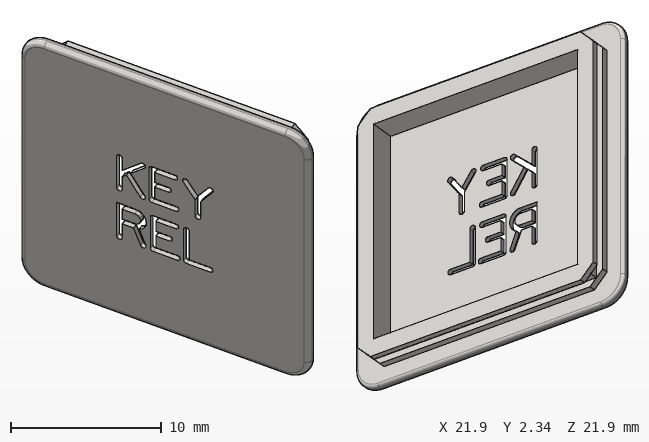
import cadquery as cq
import math


face_width = 21.85
face_thickness = 0.76
face_corner_radius = 1.83
front_edge_radius = 0.4
back_edge_radius = 0.25

front_flange_depth = 0.5
groove_depth = 0.63
back_flange_depth = 0.45
flange_width = 19.18
flange_corner_chamfer = 1.03
groove_width = 18.13

legend_thickness = 0.4
rim_wall = 0.76
cavity_width = groove_width - 2 * rim_wall

front_flange_y = face_thickness
groove_y = front_flange_y + front_flange_depth
back_flange_y = groove_y + groove_depth
back_y = back_flange_y + back_flange_depth

stroke_width = 0.41
stroke_radius = stroke_width / 2
letter_height = 2.77
letter_width = 1.8
top_row_z = 0.48
row_pitch = 4.35
bottom_row_z = top_row_z - row_pitch
left_column_x = -3.4
top_e_x = -0.96
bottom_e_x = -0.87
y_x = 1.57
l_x = 1.64

k_width = 1.75
k_arm_foot = 1.22
k_leg_x = 0.57
k_leg_top = k_arm_foot + k_leg_x * (letter_height - k_arm_foot) / k_width
e_top_length = 1.73
e_middle_length = 1.25
e_bottom_length = 1.83
e_middle_height = 1.46
y_width = 1.88
y_fork_height = 1.5
bowl_height = 1.3
bowl_straight = 1.15
bowl_foot = letter_height - bowl_height
r_leg_x = 1.2


def slab(width, depth, y):
    """Square slab centred on the Y axis, running from y toward +Y."""
    return cq.Workplane("XY").box(width, depth, width).translate((0, y + depth / 2, 0))


def face_plate():
    plate = slab(face_width, face_thickness, 0).edges("|Y").fillet(face_corner_radius)
    plate = plate.faces("<Y").edges().fillet(front_edge_radius)
    return plate.faces(">Y").edges().fillet(back_edge_radius)


def flange(depth, y):
    return slab(flange_width, depth, y).edges("|Y").chamfer(flange_corner_chamfer)


def rim():
    walls = flange(front_flange_depth, front_flange_y)
    walls = walls.union(slab(groove_width, groove_depth, groove_y))
    walls = walls.union(flange(back_flange_depth, back_flange_y))
    return walls


def cavity():
    return slab(cavity_width, back_y - legend_thickness, legend_thickness)


def through_face(sketch):
    """Extrude an outline drawn in the XZ plane through the web in front of the cavity."""
    return sketch.extrude(-legend_thickness)


def stroke(start, end):
    """Round-ended bar between two points of a letter."""
    run = end[0] - start[0]
    rise = end[1] - start[1]
    middle = ((start[0] + end[0]) / 2, (start[1] + end[1]) / 2)
    length = math.hypot(run, rise) + stroke_width
    angle = math.degrees(math.atan2(rise, run))
    return through_face(cq.Workplane("XZ").center(*middle).slot2D(length, stroke_width, angle))


def bowl(offset):
    """D shape of the R's bowl, grown by offset from its stroke centre line."""
    bottom = bowl_foot - offset
    top = letter_height + offset
    middle = (bottom + top) / 2
    nose = bowl_straight + (top - bottom) / 2
    outline = (
        cq.Workplane("XZ")
        .moveTo(-offset, bottom)
        .lineTo(bowl_straight, bottom)
        .threePointArc((nose, middle), (bowl_straight, top))
        .lineTo(-offset, top)
        .close()
    )
    return through_face(outline)


def placed(shape, x, z):
    return shape.translate((x, 0, z))


stem = ((0, 0), (0, letter_height))
k_strokes = [
    stem,
    ((0, k_arm_foot), (k_width, letter_height)),
    ((k_leg_x, k_leg_top), (k_width, 0)),
]
e_strokes = [
    stem,
    ((0, letter_height), (e_top_length, letter_height)),
    ((0, e_middle_height), (e_middle_length, e_middle_height)),
    ((0, 0), (e_bottom_length, 0)),
]
y_strokes = [
    ((0, letter_height), (y_width / 2, y_fork_height)),
    ((y_width, letter_height), (y_width / 2, y_fork_height)),
    ((y_width / 2, 0), (y_width / 2, y_fork_height)),
]
r_strokes = [
    stem,
    ((r_leg_x, bowl_foot), (letter_width, 0)),
]
l_strokes = [
    stem,
    ((0, 0), (letter_width, 0)),
]
letters = [
    (k_strokes, left_column_x, top_row_z),
    (e_strokes, top_e_x, top_row_z),
    (y_strokes, y_x, top_row_z),
    (r_strokes, left_column_x, bottom_row_z),
    (e_strokes, bottom_e_x, bottom_row_z),
    (l_strokes, l_x, bottom_row_z),
]


def key_cap():
    cap = face_plate().union(rim()).cut(cavity())
    for strokes, x, z in letters:
        for start, end in strokes:
            cap = cap.cut(placed(stroke(start, end), x, z))
    return cap.cut(placed(bowl(stroke_radius), left_column_x, bottom_row_z))


def letter_island():
    """Loose centre of the R, enclosed by its bowl."""
    return placed(bowl(-stroke_radius), left_column_x, bottom_row_z)


cap = key_cap()
island = letter_island()
result = cq.Compound.makeCompound([cap.val(), island.val()])